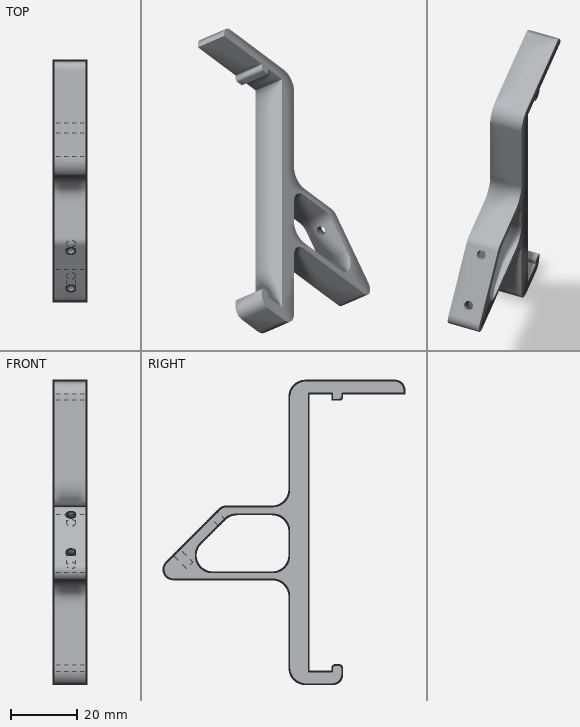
import cadquery as cq
import math

width = 10.0
height = 92.0
arm_length = 35.0
grip_reach = 38.1
spine_thickness = 6.0
arm_thickness = 4.0

lip_inner = 13.0
lip_width = 3.1
lip_outer = lip_inner + lip_width
lip_height = 1.9
lip_corner_radius = 1.0

grip_bottom = 31.7
grip_top = 53.9
tip_radius = 3.0
window_end = 28.2
window_bottom = grip_bottom + 2.2
window_top = grip_top - 2.5
sloped_wall = 3.3

large_radius = 5.1
arm_end_radius = 3.0
hook_heel_radius = 3.0

hole_diameter = 2.8
hole_offset_x = 0.3
hole_heights = (40.0, 51.3)
hole_depth = 5.5

diagonal = math.sqrt(2)
outer_sum = (grip_reach - tip_radius) + (grip_bottom + tip_radius) + tip_radius * diagonal
inner_sum = outer_sum - sloped_wall * diagonal


def extrude_outline(points):
    """Extrude a (Y, Z) outline symmetrically across the part width."""
    return cq.Workplane("YZ").polyline(points).close().extrude(width / 2, both=True)


def round_edges(body, points, radius):
    """Round the edges along X that pass through the given (Y, Z) points."""
    tolerance = 0.01
    for y, z in points:
        low = (-width, y - tolerance, z - tolerance)
        high = (width, y + tolerance, z + tolerance)
        body = body.edges(cq.selectors.BoxSelector(low, high)).fillet(radius)
    return body


def make_clamp():
    """Spine, long upper arm with a lip, and short lower arm ending in a hook."""
    arm_underside = height - arm_thickness
    upper_lip_end = arm_underside - lip_height
    hook_end = arm_thickness + lip_height
    body = extrude_outline([
        (0, 0),
        (lip_outer, 0),
        (lip_outer, hook_end),
        (lip_inner, hook_end),
        (lip_inner, arm_thickness),
        (spine_thickness, arm_thickness),
        (spine_thickness, arm_underside),
        (lip_inner, arm_underside),
        (lip_inner, upper_lip_end),
        (lip_outer, upper_lip_end),
        (lip_outer, arm_underside),
        (arm_length, arm_underside),
        (arm_length, height),
        (0, height),
    ])
    body = round_edges(body, [(0, 0), (0, height)], large_radius)
    body = round_edges(body, [(arm_length, height)], arm_end_radius)
    body = round_edges(body, [(lip_outer, 0)], hook_heel_radius)
    lip_corners = [(lip_outer, upper_lip_end), (lip_outer, hook_end), (lip_inner, hook_end)]
    return round_edges(body, lip_corners, lip_corner_radius)


def make_grip():
    """Solid grip block, reaching into the spine so that the two merge."""
    slope_top = (grip_top - outer_sum, grip_top)
    slope_bottom = (grip_bottom - outer_sum, grip_bottom)
    body = extrude_outline([
        (spine_thickness, grip_bottom),
        slope_bottom,
        slope_top,
        (spine_thickness, grip_top),
    ])
    return round_edges(body, [slope_top, slope_bottom], tip_radius)


def make_window():
    """Finger opening bounded by the spine face and parallel to the sloping face."""
    corners = [
        (0, window_bottom),
        (-window_end, window_bottom),
        (-window_end, inner_sum - window_end),
        (window_top - inner_sum, window_top),
        (0, window_top),
    ]
    return round_edges(extrude_outline(corners), corners, large_radius)


def make_hole(z):
    """Blind cylinder entering the sloping face at height z."""
    inward = cq.Vector(0, 1, -1)
    entry = cq.Vector(hole_offset_x, z - outer_sum, z)
    return cq.Solid.makeCylinder(hole_diameter / 2, hole_depth, entry, inward)


result = make_clamp().union(make_grip())
result = round_edges(result, [(0, grip_bottom), (0, grip_top)], large_radius)
result = result.cut(make_window())
for hole_height in hole_heights:
    result = result.cut(make_hole(hole_height))